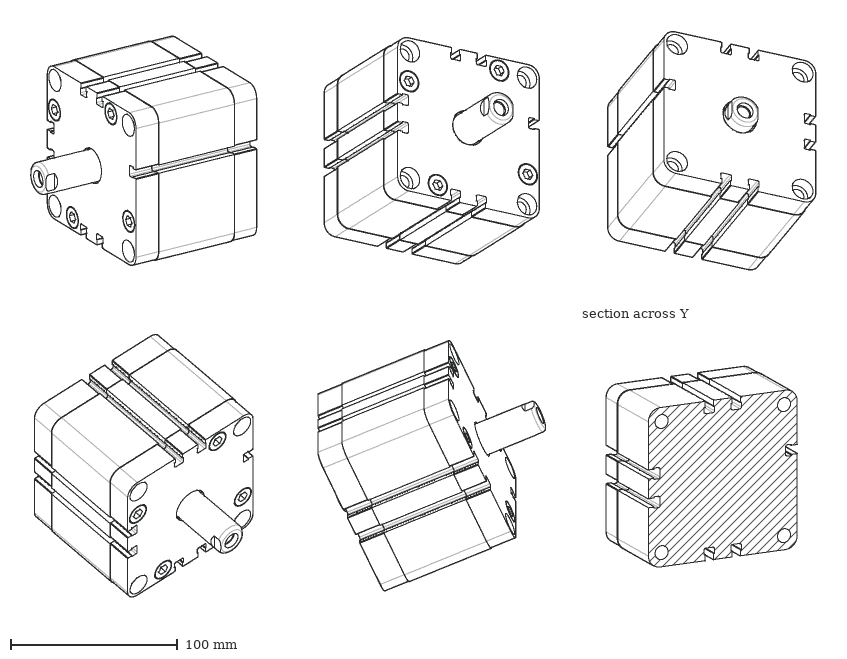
import cadquery as cq
import math

CAP_LENGTH = 16.0
BARREL_LENGTH = 54.0
BODY_LENGTH = BARREL_LENGTH + 2 * CAP_LENGTH
ROD_FRONT_REACH = 38.0
ROD_REAR_REACH = 8.0
ROD_LENGTH = ROD_FRONT_REACH + BODY_LENGTH + ROD_REAR_REACH

BARREL_WIDTH = 100.0
BARREL_CORNER_RADIUS = 8.0
CAP_SETBACK = 0.4
CAP_WIDTH = BARREL_WIDTH - 2 * CAP_SETBACK
CAP_CORNER_RADIUS = BARREL_CORNER_RADIUS - CAP_SETBACK

SLOT_NECK_WIDTH = 5.4
SLOT_HEAD_WIDTH = 6.8
SLOT_NECK_DEPTH = 4.0
SLOT_DEPTH = 7.8
SLOT_OFFSET = 9.0
SINGLE_SLOT_OFFSET = 12.0
SLOT_FLOOR_RADIUS = 1.0
SLOT_MOUTH_CHAMFER = 0.4
SLOT_CLEARANCE = 0.1

MOUNT_OFFSET = 41.0
MOUNT_HOLE_DIAMETER = 8.38
MOUNT_BORE_DIAMETER = 13.5
MOUNT_BORE_DEPTH = 8.0

SCREW_ALONG = 21.5
SCREW_ACROSS = 41.5
SCREW_BORE_DIAMETER = 13.5
SCREW_HEAD_DIAMETER = 12.5
SCREW_GAP_DEPTH = 6.0
SCREW_HEX_FLATS = 6.0
SCREW_HEX_DEPTH = 4.0

ROD_DIAMETER = 20.0
ROD_END_RADIUS = 2.0
ROD_CLEARANCE_DIAMETER = 22.0
ROD_CLEARANCE_DEPTH = 2.0
WRENCH_WIDTH = 17.0
WRENCH_LENGTH = 6.0
THREAD_DIAMETER = 8.57
THREAD_MOUTH_DIAMETER = 10.25
THREAD_MOUTH_DEPTH = 3.5
THREAD_DEPTH = 20.0
DRILL_POINT_ANGLE = 120.0

QUARTER_TURNS = (0, 90, 180, 270)


def section_at(y):
    """Workplane at the given Y: local x is X, local y is Z, extrusion runs toward +Y."""
    return cq.Workplane(cq.Plane(origin=(0, y, 0), xDir=(1, 0, 0), normal=(0, -1, 0)))


def block(width, corner_radius, y, length):
    return section_at(y).rect(width, width).extrude(-length).edges("|Y").fillet(corner_radius)


def cylinder(diameter, y, length, x=0, z=0):
    return section_at(y).center(x, z).circle(diameter / 2).extrude(-length)


def at_both_ends(shape, middle_y):
    """The shape together with its mirror image about the plane Y = middle_y."""
    mirrored = shape.mirror("XZ", (0, middle_y, 0))
    return shape.union(mirrored)


def turned(shape, angle):
    """Turn about the rod axis; a positive angle takes +Z toward +X."""
    return shape.rotate((0, 0, 0), (0, 1, 0), angle)


def slot_cutter(offset, clearance, y, length):
    """T-slot in the +Z side, with every wall moved outward by the clearance."""
    top = BARREL_WIDTH / 2
    neck = SLOT_NECK_WIDTH / 2 + clearance
    head = SLOT_HEAD_WIDTH / 2 + clearance
    shoulder_z = top - SLOT_NECK_DEPTH + clearance
    floor_z = top - SLOT_DEPTH - clearance
    outline = [
        (offset - neck, top),
        (offset - neck, shoulder_z),
        (offset - head, shoulder_z),
        (offset - head, floor_z),
        (offset + head, floor_z),
        (offset + head, shoulder_z),
        (offset + neck, shoulder_z),
        (offset + neck, top),
    ]
    cutter = section_at(y).polyline(outline).close().extrude(-length)
    floor_edges = cq.selectors.BoxSelector(
        (offset - 2 * head, y, floor_z - SLOT_FLOOR_RADIUS),
        (offset + 2 * head, y + length, floor_z + SLOT_FLOOR_RADIUS),
    )
    return cutter.edges("|Y").edges(floor_edges).fillet(SLOT_FLOOR_RADIUS)


def slot_mouth_cutter(offset):
    """Chamfer along the mouth of a slot in the +Z side of both caps."""
    top = CAP_WIDTH / 2
    neck = SLOT_NECK_WIDTH / 2 + SLOT_CLEARANCE
    mouth = neck + SLOT_MOUTH_CHAMFER
    outline = [
        (offset - mouth, top),
        (offset - neck, top - SLOT_MOUTH_CHAMFER),
        (offset + neck, top - SLOT_MOUTH_CHAMFER),
        (offset + mouth, top),
    ]
    front = section_at(0).polyline(outline).close().extrude(-CAP_LENGTH)
    return at_both_ends(front, BODY_LENGTH / 2)


def slot_set_cutter(offset):
    """One slot through the barrel and, slightly larger, through both caps."""
    barrel_slot = slot_cutter(offset, 0, CAP_LENGTH, BARREL_LENGTH)
    cap_slot = slot_cutter(offset, SLOT_CLEARANCE, 0, CAP_LENGTH)
    return barrel_slot.union(at_both_ends(cap_slot, BODY_LENGTH / 2)).union(slot_mouth_cutter(offset))


def cut_slots(body):
    pair = (-SLOT_OFFSET, SLOT_OFFSET)
    slots_by_side = {0: pair, 90: (-SINGLE_SLOT_OFFSET,), 180: pair, 270: pair}
    for angle, offsets in slots_by_side.items():
        for offset in offsets:
            body = body.cut(turned(slot_set_cutter(offset), angle))
    return body


def cut_mount_holes(body):
    hole = cylinder(MOUNT_HOLE_DIAMETER, 0, BODY_LENGTH, MOUNT_OFFSET, MOUNT_OFFSET)
    bore = cylinder(MOUNT_BORE_DIAMETER, 0, MOUNT_BORE_DEPTH, MOUNT_OFFSET, MOUNT_OFFSET)
    cutter = hole.union(at_both_ends(bore, BODY_LENGTH / 2))
    for angle in QUARTER_TURNS:
        body = body.cut(turned(cutter, angle))
    return body


def cut_screws(body):
    """Ring gap around each flush screw head, and its hexagon socket."""
    centre = (SCREW_ALONG, SCREW_ACROSS)
    hex_diameter = SCREW_HEX_FLATS / math.cos(math.radians(30))
    gap = (
        section_at(0)
        .center(*centre)
        .circle(SCREW_BORE_DIAMETER / 2)
        .circle(SCREW_HEAD_DIAMETER / 2)
        .extrude(-SCREW_GAP_DEPTH)
    )
    socket = section_at(0).center(*centre).polygon(6, hex_diameter).extrude(-SCREW_HEX_DEPTH)
    for angle in QUARTER_TURNS:
        upright_socket = socket.rotate((centre[0], 0, centre[1]), (centre[0], 1, centre[1]), -angle)
        body = body.cut(turned(gap, angle)).cut(turned(upright_socket, angle))
    return body


def wrench_flat_cutter():
    """Flat on the +X side of the front rod end, running out at 45 degrees."""
    end_y = -ROD_FRONT_REACH
    flat_x = WRENCH_WIDTH / 2
    rod_x = ROD_DIAMETER / 2
    runout = rod_x - flat_x
    outline = [
        (flat_x, end_y),
        (rod_x, end_y),
        (rod_x, end_y + WRENCH_LENGTH + runout),
        (flat_x, end_y + WRENCH_LENGTH),
    ]
    return cq.Workplane("XY").polyline(outline).close().extrude(rod_x, both=True)


def thread_cutter():
    """Tapped hole in the front rod end with a plain counterbore and a drill point."""
    end_y = -ROD_FRONT_REACH
    radius = THREAD_DIAMETER / 2
    mouth_radius = THREAD_MOUTH_DIAMETER / 2
    point_length = radius / math.tan(math.radians(DRILL_POINT_ANGLE / 2))
    outline = [
        (0, end_y),
        (mouth_radius, end_y),
        (mouth_radius, end_y + THREAD_MOUTH_DEPTH),
        (radius, end_y + THREAD_MOUTH_DEPTH),
        (radius, end_y + THREAD_DEPTH),
        (0, end_y + THREAD_DEPTH + point_length),
    ]
    return cq.Workplane("XY").polyline(outline).close().revolve(360, (0, 0), (0, 1))


def make_rod():
    rod = cylinder(ROD_DIAMETER, -ROD_FRONT_REACH, ROD_LENGTH)
    rod = rod.edges("%CIRCLE").fillet(ROD_END_RADIUS)
    rod_middle = ROD_LENGTH / 2 - ROD_FRONT_REACH
    flat = wrench_flat_cutter()
    for cutter in (flat, turned(flat, 180), thread_cutter()):
        rod = rod.cut(at_both_ends(cutter, rod_middle))
    return rod


def make_body():
    barrel = block(BARREL_WIDTH, BARREL_CORNER_RADIUS, CAP_LENGTH, BARREL_LENGTH)
    front_cap = block(CAP_WIDTH, CAP_CORNER_RADIUS, 0, CAP_LENGTH)
    body = barrel.union(at_both_ends(front_cap, BODY_LENGTH / 2))
    body = cut_slots(body)
    body = cut_mount_holes(body)
    body = cut_screws(body)
    clearance = cylinder(ROD_CLEARANCE_DIAMETER, 0, ROD_CLEARANCE_DEPTH)
    rod_bore = cylinder(ROD_DIAMETER, 0, BODY_LENGTH)
    return body.cut(at_both_ends(clearance, BODY_LENGTH / 2)).cut(rod_bore)


result = make_body().union(make_rod())